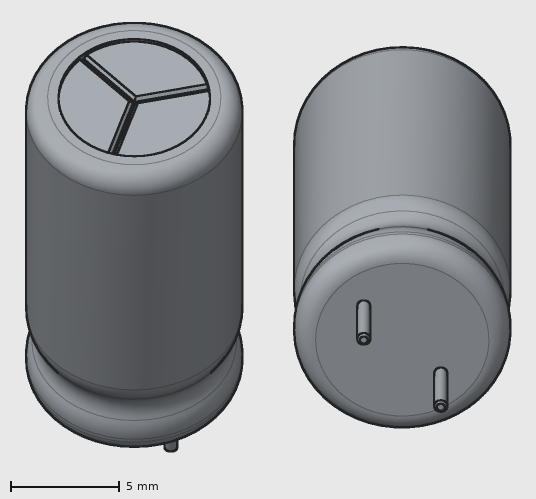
import cadquery as cq
import math

total_height = 23.3
lead_length = 3.3
can_height = total_height - lead_length
can_radius = 5.0

rim_radius = 1.0

crimp_bottom = 1.2
crimp_height = 3.59
crimp_depth = 0.5
shoulder_share = 0.57

recess_radius = 3.5
recess_depth = 0.19
score_width = 0.42
score_floor_width = 0.1
score_depth = 0.19
score_angles = (60, 180, 300)

lead_diameter = 0.6
lead_spacing = can_radius
lead_tip_chamfer = 0.12


def make_can():
    crimp_top = crimp_bottom + crimp_height
    waist = (can_radius - crimp_depth, crimp_bottom + crimp_height / 2)
    turn_radius = can_radius - shoulder_share * crimp_depth
    shoulder_height = shoulder_share * crimp_height / 2
    rim_inner = can_radius - rim_radius
    rim_mid_offset = rim_radius * (1 - math.sqrt(0.5))
    rim_mid_radius = can_radius - rim_mid_offset
    return (
        cq.Workplane("XZ")
        .lineTo(rim_inner, 0)
        .threePointArc((rim_mid_radius, rim_mid_offset), (can_radius, rim_radius))
        .lineTo(can_radius, crimp_bottom)
        .tangentArcPoint((turn_radius, crimp_bottom + shoulder_height), relative=False)
        .tangentArcPoint(waist, relative=False)
        .tangentArcPoint((turn_radius, crimp_top - shoulder_height), relative=False)
        .tangentArcPoint((can_radius, crimp_top), relative=False)
        .lineTo(can_radius, can_height - rim_radius)
        .threePointArc((rim_mid_radius, can_height - rim_mid_offset), (rim_inner, can_height))
        .lineTo(0, can_height)
        .close()
        .revolve(360, (0, 0, 0), (0, 1, 0))
    )


def make_vent_cut():
    floor = can_height - recess_depth
    recess = cq.Workplane("XY").workplane(offset=floor).circle(recess_radius).extrude(recess_depth)
    score = (
        cq.Workplane("YZ")
        .moveTo(-score_width / 2, floor)
        .lineTo(-score_floor_width / 2, floor - score_depth)
        .lineTo(score_floor_width / 2, floor - score_depth)
        .lineTo(score_width / 2, floor)
        .close()
        .extrude(recess_radius)
    )
    scores = cq.Workplane("XY")
    for angle in score_angles:
        scores = scores.union(score.rotate((0, 0, 0), (0, 0, 1), angle))
    score_limit = (
        cq.Workplane("XY").workplane(offset=floor - score_depth).circle(recess_radius).extrude(score_depth)
    )
    return recess.union(scores.intersect(score_limit))


def make_leads():
    return (
        cq.Workplane("XY")
        .pushPoints([(-lead_spacing / 2, 0), (lead_spacing / 2, 0)])
        .circle(lead_diameter / 2)
        .extrude(-lead_length)
        .faces("<Z")
        .chamfer(lead_tip_chamfer)
    )


result = make_can().cut(make_vent_cut()).union(make_leads())